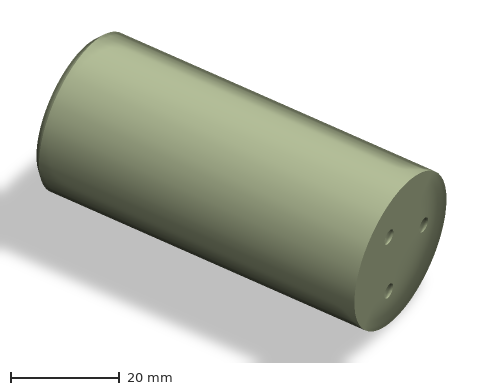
import cadquery as cq
import math

length = 70.0
diameter = 32.0
chamfer = 1.55

channel_count = 3
channel_diameter = 3.1
channel_circle_radius = 8.05
first_channel_angle = 95.0
helix_angle = 30.0
helix_pitch = math.pi * diameter / math.tan(math.radians(helix_angle))
twist = 360 * length / helix_pitch


def helical_channel(angle):
    """Cutter for one right-handed channel, starting at the given angle on the -X end."""
    start = math.radians(angle)
    return (
        cq.Workplane("YZ")
        .center(channel_circle_radius * math.cos(start), channel_circle_radius * math.sin(start))
        .circle(channel_diameter / 2)
        .center(-channel_circle_radius * math.cos(start), -channel_circle_radius * math.sin(start))
        .twistExtrude(length, twist)
    )


rod = cq.Workplane("YZ").circle(diameter / 2).extrude(length)
rod = rod.faces("<X").chamfer(chamfer)

for index in range(channel_count):
    rod = rod.cut(helical_channel(first_channel_angle + index * 360 / channel_count))

result = rod